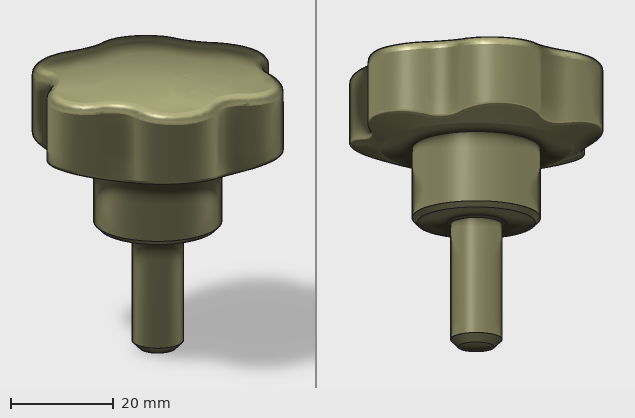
import cadquery as cq
import math

total_height = 57.95
hub_bottom = 25.05
head_bottom = 40

pin_diameter = 10.0
pin_chamfer = 1.5
collar_width = 0.75
collar_height = 0.3
hub_diameter = 25.0
hub_chamfer = 1.0

lobe_count = 6
tip_to_tip = 50.7
width_across_x = 46.4
valley_radius = 7.5

dome_radius = 150.1
flat_diameter = 37.2
cone_angle = 17.3
top_fillet = 1.95
bottom_fillet = 0.7
envelope_margin = 2.3

lobe_step = 2 * math.pi / lobe_count
half_step = lobe_step / 2
tip_radius = tip_to_tip / 2
lobe_distance = (tip_to_tip - width_across_x) / 2 / (1 - math.cos(half_step))
lobe_radius = tip_radius - lobe_distance

center_gap = lobe_radius + valley_radius
valley_distance = lobe_distance * math.cos(half_step) + math.sqrt(
    center_gap**2 - (lobe_distance * math.sin(half_step)) ** 2
)


def polar(radius, angle):
    return (radius * math.cos(angle), radius * math.sin(angle))


def lobe_outline():
    """Closed outline of tangent lobe and valley arcs, with a lobe on +Y."""
    lobe_x = lobe_distance
    valley_x, valley_y = polar(valley_distance, half_step)
    share = lobe_radius / center_gap
    joint_x = lobe_x + share * (valley_x - lobe_x)
    joint_y = share * valley_y
    joint_radius = math.hypot(joint_x, joint_y)
    joint_angle = math.atan2(joint_y, joint_x)

    first_lobe = math.pi / 2
    outline = cq.Workplane("XY").moveTo(*polar(joint_radius, first_lobe - joint_angle))
    for index in range(lobe_count):
        angle = first_lobe + index * lobe_step
        outline = outline.threePointArc(
            polar(tip_radius, angle), polar(joint_radius, angle + joint_angle)
        )
        outline = outline.threePointArc(
            polar(valley_distance - valley_radius, angle + half_step),
            polar(joint_radius, angle + lobe_step - joint_angle),
        )
    return outline.close()


def head_envelope():
    """Turned body with a spherical top and a conical underside."""
    reach = tip_radius + envelope_margin
    flat_radius = flat_diameter / 2
    cone_top = head_bottom + (reach - flat_radius) * math.tan(math.radians(cone_angle))
    dome_center = total_height - dome_radius

    def dome_height(radius):
        return dome_center + math.sqrt(dome_radius**2 - radius**2)

    return (
        cq.Workplane("XZ")
        .moveTo(0, head_bottom)
        .lineTo(flat_radius, head_bottom)
        .lineTo(reach, cone_top)
        .lineTo(reach, dome_height(reach))
        .threePointArc((reach / 2, dome_height(reach / 2)), (0, total_height))
        .close()
        .revolve(360, (0, 0), (0, 1))
    )


def head():
    blank = lobe_outline().extrude(total_height)
    body = blank.intersect(head_envelope())
    body = body.faces(">Z").edges().fillet(top_fillet)
    underside = body.faces("%CONE")
    return underside.edges("not %CIRCLE").fillet(bottom_fillet)


def hub():
    return (
        cq.Workplane("XY", origin=(0, 0, hub_bottom))
        .circle(hub_diameter / 2)
        .extrude(head_bottom - hub_bottom)
        .faces("<Z")
        .chamfer(hub_chamfer)
    )


def pin():
    return (
        cq.Workplane("XY")
        .circle(pin_diameter / 2)
        .extrude(hub_bottom)
        .faces("<Z")
        .chamfer(pin_chamfer)
    )


def collar():
    """Small cone where the pin leaves the hub."""
    return cq.Workplane(
        cq.Solid.makeCone(
            pin_diameter / 2,
            pin_diameter / 2 + collar_width,
            collar_height,
            pnt=cq.Vector(0, 0, hub_bottom - collar_height),
        )
    )


result = head().union(hub()).union(pin()).union(collar())